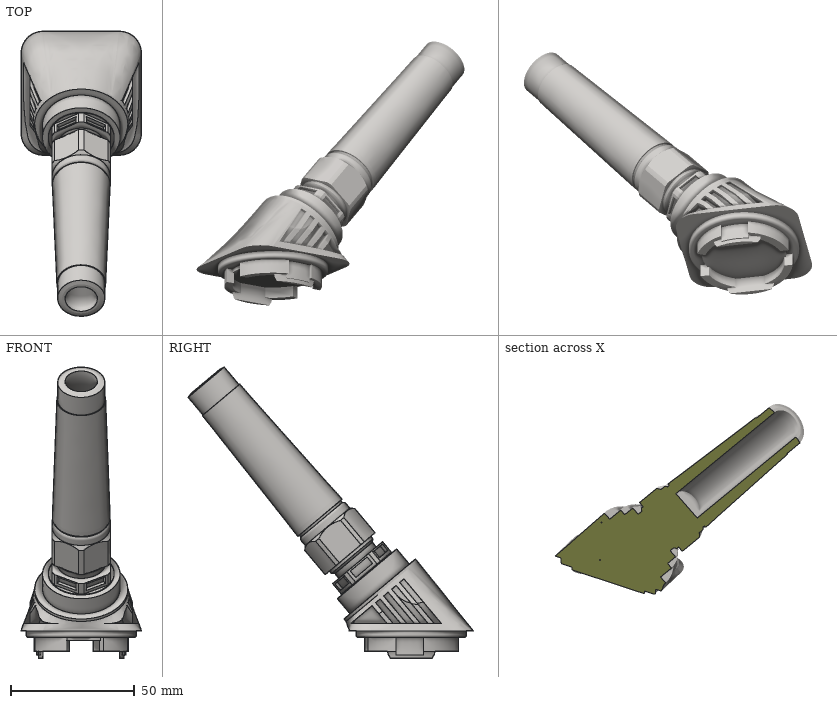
import cadquery as cq
import math

lean = 50.0
axis_offset_y = 1.4

flange_width = 48.8
flange_depth = 50.3
flange_corner = 9.0

hood_end = 20.8
rim_end = 22.1
collar_end = 30.1
lock_nut_start = 30.5
lock_nut_end = 36.0
shoulder_start = 38.5
shoulder_full = 39.5
cap_nut_start = 40.8
cap_nut_end = 55.1
ring_start = 56.2
ring_end = 58.8
ring_fillet = 1.4
sleeve_start = 59.8
sleeve_taper_start = 61.8
tip_start = 122.2
tip_edge = 131.5
tip_end = 132.0

rim_radius = 18.9
collar_radius = 15.7
washer_radius = 13.4
neck_radius = 9.9
shoulder_radius = 11.0
groove_radius = 11.0
ring_radius = 11.8
sleeve_radius = 11.7
sleeve_end_radius = 9.9
tip_radius = 9.6
lip_radius = 7.7
bore_radius = 6.5

rim_side_half_angle = 33.0
rim_end_half_angle = 41.0

nut_across_flats = 23.9
nut_corner_radius = 13.2
cap_nut_bevel_height = 1.4
nut_pocket_width = 8.9
nut_pocket_height = 3.4
nut_pocket_depth = 1.4
nut_pocket_base = 31.9

sill_height = 3.0
window_end = 18.9
window_edge = 10.2
slat_face_x = 20.8
slat_width = 1.9
slat_pitch = 4.3
slat_count = 4
first_slat = 7.0
core_radius = 19.4
core_tangent_angle = 19.0
skin_thickness = 1.3

disc_diameter = 44.8
disc_height = 2.7
disc_fillet = 1.0
skirt_diameter = 39.6
skirt_inner_radius = 16.4
skirt_bottom = -8.4
plate_radius = 17.1
plate_bottom = -4.0
filler_radius = 23.6
latch_outer_x = 18.1
latch_bottom = -9.8
tab_outer_x = 18.1
tab_bottom = -11.2
tab_draft = 5.0
tab_inner_x = 15.5
tab_top_width = 20.3
tab_bottom_width = 16.8
side_notch_front_y = -6.3
side_notch_back_y = 5.0
front_notch_left_x = -5.8
front_notch_right_angle = 27.0
back_notch_half_width = 4.8

big = 70.9

lean_rad = math.radians(lean)
spout_plane = cq.Plane(
    origin=(0, axis_offset_y, 0),
    xDir=(1, 0, 0),
    normal=(0, -math.cos(lean_rad), math.sin(lean_rad)),
)


def spout_cylinder(start, end, radius):
    return cq.Workplane(spout_plane).workplane(offset=start).circle(radius).extrude(end - start)


def spout_box(x_range, v_range, s_range):
    """Box in the spout frame, given its limits on each local axis."""
    return (
        cq.Workplane(spout_plane)
        .workplane(offset=s_range[0])
        .center(sum(x_range) / 2, sum(v_range) / 2)
        .rect(x_range[1] - x_range[0], v_range[1] - v_range[0])
        .extrude(s_range[1] - s_range[0])
    )


def world_box(x_range, y_range, z_range):
    return cq.Workplane("XY").box(
        x_range[1] - x_range[0], y_range[1] - y_range[0], z_range[1] - z_range[0], centered=False
    ).translate((x_range[0], y_range[0], z_range[0]))


def closed_wire(points, mids):
    """Eight edges; edges with a mid point are arcs, the others are lines."""
    edges = []
    for i, mid in enumerate(mids):
        start = points[i]
        end = points[(i + 1) % len(points)]
        if mid is None:
            edges.append(cq.Edge.makeLine(start, end))
        else:
            edges.append(cq.Edge.makeThreePointArc(start, mid, end))
    return cq.Wire.assembleEdges(edges)


def flange_wire(inset):
    half_x = flange_width / 2 - inset
    half_y = flange_depth / 2 - inset
    radius = flange_corner - inset
    centers = [(1, 1), (-1, 1), (-1, -1), (1, -1)]
    points = []
    mids = []
    for i, (sx, sy) in enumerate(centers):
        cx = sx * (half_x - radius)
        cy = sy * (half_y - radius)
        arc_points = []
        for angle in (90 * i, 90 * i + 45, 90 * i + 90):
            a = math.radians(angle)
            arc_points.append(cq.Vector(cx + radius * math.cos(a), cy + radius * math.sin(a), 0))
        points += [arc_points[0], arc_points[2]]
        mids += [arc_points[1], None]
    return closed_wire(points, mids)


def rim_wire(inset):
    """Circle at the top of the hood, divided to match the flange outline."""
    radius = rim_radius - inset
    angles = []
    for i in range(4):
        before, after = rim_side_half_angle, rim_end_half_angle
        if i % 2:
            before, after = rim_end_half_angle, rim_side_half_angle
        angles += [90 * i + before, 90 * (i + 1) - after]

    def on_rim(angle):
        a = math.radians(angle)
        local = cq.Vector(radius * math.cos(a), radius * math.sin(a), hood_end)
        return spout_plane.toWorldCoords(local)

    ends = angles[1:] + [angles[0] + 360]
    mids = [on_rim((a + b) / 2) for a, b in zip(angles, ends)]
    return closed_wire([on_rim(a) for a in angles], mids)


def hood_body(inset=0.0):
    return cq.Workplane(cq.Solid.makeLoft([flange_wire(inset), rim_wire(inset)], True))


def hood_core():
    """Upright core behind the windows: a round back that runs out into flat walls."""
    a = math.radians(core_tangent_angle)
    tangent_x = core_radius * math.cos(a)
    tangent_y = -core_radius * math.sin(a)
    front_y = -big / 2
    front_x = tangent_x - (tangent_y - front_y) * math.tan(a)
    return (
        cq.Workplane("XY")
        .moveTo(front_x, front_y)
        .lineTo(tangent_x, tangent_y)
        .threePointArc((0, core_radius), (-tangent_x, tangent_y))
        .lineTo(-front_x, front_y)
        .close()
        .extrude(big)
    )


def hood():
    window = spout_box((-big, big), (-big, window_edge), (-big, window_end))
    window = window.intersect(world_box((-big, big), (-big, big), (sill_height, big)))
    window = window.cut(hood_core().intersect(hood_body(skin_thickness)))
    for i in range(slat_count):
        center = first_slat - i * slat_pitch
        window = window.cut(
            spout_box(
                (-slat_face_x, slat_face_x),
                (center - slat_width / 2, center + slat_width / 2),
                (-big, big),
            )
        )
    return hood_body().cut(window)


def hex_nut(start, end):
    across_corners = nut_across_flats / math.cos(math.pi / 6)
    nut = (
        cq.Workplane(spout_plane)
        .workplane(offset=start)
        .transformed(rotate=(0, 0, 30))
        .polygon(6, across_corners)
        .extrude(end - start)
    )
    return nut.intersect(spout_cylinder(start, end, nut_corner_radius))


def revolve_spout(profile):
    """Turn a list of (radius, station) points about the spout axis."""
    section = cq.Plane(
        origin=spout_plane.origin,
        xDir=(1, 0, 0),
        normal=(0, -math.sin(lean_rad), -math.cos(lean_rad)),
    )
    return cq.Workplane(section).polyline(profile).close().revolve(360, (0, 0, 0), (0, 1, 0))


def lock_nut():
    nut = hex_nut(lock_nut_start, lock_nut_end)
    flat = nut_across_flats / 2
    pocket = spout_box(
        (flat - nut_pocket_depth, flat + nut_pocket_depth),
        (-nut_pocket_width / 2, nut_pocket_width / 2),
        (nut_pocket_base, nut_pocket_base + nut_pocket_height),
    )
    axis_start = spout_plane.origin
    axis_end = axis_start + spout_plane.zDir
    for i in range(6):
        nut = nut.cut(pocket.rotate(axis_start.toTuple(), axis_end.toTuple(), 60 * i))
    return nut


def cap_nut():
    bevel_start = cap_nut_end - cap_nut_bevel_height
    envelope = revolve_spout([
        (0, cap_nut_start),
        (nut_corner_radius, cap_nut_start),
        (nut_corner_radius, bevel_start),
        (ring_radius, cap_nut_end),
        (0, cap_nut_end),
    ])
    return hex_nut(cap_nut_start, cap_nut_end).intersect(envelope)


def spout():
    turned = revolve_spout([
        (0, 0),
        (0, tip_end),
        (lip_radius, tip_end),
        (tip_radius, tip_edge),
        (tip_radius, tip_start),
        (sleeve_end_radius, tip_start),
        (sleeve_radius, sleeve_taper_start),
        (sleeve_radius, sleeve_start),
        (groove_radius, sleeve_start),
        (groove_radius, ring_start),
        (ring_radius, ring_start),
        (ring_radius, cap_nut_start),
        (shoulder_radius, cap_nut_start),
        (shoulder_radius, shoulder_full),
        (neck_radius, shoulder_start),
        (neck_radius, lock_nut_start),
        (washer_radius, lock_nut_start),
        (washer_radius, collar_end),
        (collar_radius, collar_end),
        (collar_radius, rim_end),
        (rim_radius, rim_end),
        (rim_radius, hood_end),
        (neck_radius, hood_end),
        (neck_radius, 0),
    ])
    along_spout = cq.selectors.DirectionMinMaxSelector(spout_plane.zDir)
    ring = spout_cylinder(ring_start, ring_end, ring_radius)
    ring = ring.faces(along_spout).edges().fillet(ring_fillet)
    bore = spout_cylinder(sleeve_start, tip_end, bore_radius)
    return turned.union(ring).union(lock_nut()).union(cap_nut()).cut(bore)


def drum(radius, top, bottom):
    return cq.Workplane("XY").workplane(offset=bottom).circle(radius).extrude(top - bottom)


def skirt():
    ring = drum(skirt_diameter / 2, -disc_height, skirt_bottom)
    ring = ring.cut(drum(skirt_inner_radius, -disc_height, skirt_bottom))
    heights = (skirt_bottom, -disc_height)
    ring = ring.cut(world_box((-big, big), (side_notch_front_y, side_notch_back_y), heights))
    a = math.radians(front_notch_right_angle)
    front_notch = (
        cq.Workplane("XY")
        .workplane(offset=skirt_bottom)
        .polyline([
            (0, 0),
            (front_notch_left_x, 0),
            (front_notch_left_x, -big),
            (big * math.sin(a), -big * math.cos(a)),
        ])
        .close()
        .extrude(-disc_height - skirt_bottom)
    )
    ring = ring.cut(front_notch)
    return ring.cut(world_box((-back_notch_half_width, back_notch_half_width), (0, big), heights))


def filler(outer_x, draft, outline):
    """Part of the outline, drawn in YZ, between the flat inner face and a curved outer face."""
    lens = (
        cq.Workplane("XY")
        .workplane(offset=-disc_height)
        .center(outer_x - filler_radius, 0)
        .circle(filler_radius)
        .extrude(tab_bottom + disc_height, taper=draft)
    )
    block = cq.Workplane("YZ").workplane(offset=tab_inner_x).polyline(outline).close().extrude(outer_x)
    return block.intersect(lens)


def side_latches():
    """Latch and tapered tab filling the notch on each side of the skirt."""
    latch = filler(latch_outer_x, 0, [
        (side_notch_front_y, -disc_height),
        (side_notch_front_y, latch_bottom),
        (side_notch_back_y, latch_bottom),
        (side_notch_back_y, -disc_height),
    ])
    tab = filler(tab_outer_x, tab_draft, [
        (-tab_top_width / 2, -disc_height),
        (-tab_top_width / 2, skirt_bottom),
        (-tab_bottom_width / 2, tab_bottom),
        (tab_bottom_width / 2, tab_bottom),
        (tab_top_width / 2, skirt_bottom),
        (tab_top_width / 2, -disc_height),
    ])
    right_side = latch.union(tab)
    return right_side.union(right_side.mirror("YZ"))


def base():
    disc = drum(disc_diameter / 2, 0, -disc_height).faces("<Z").edges().fillet(disc_fillet)
    plate = drum(plate_radius, -disc_height, plate_bottom)
    return disc.union(plate).union(skirt()).union(side_latches())


spout_above_base = spout().cut(world_box((-big, big), (-big, big), (-big, 0)))
result = hood().union(spout_above_base).union(base())